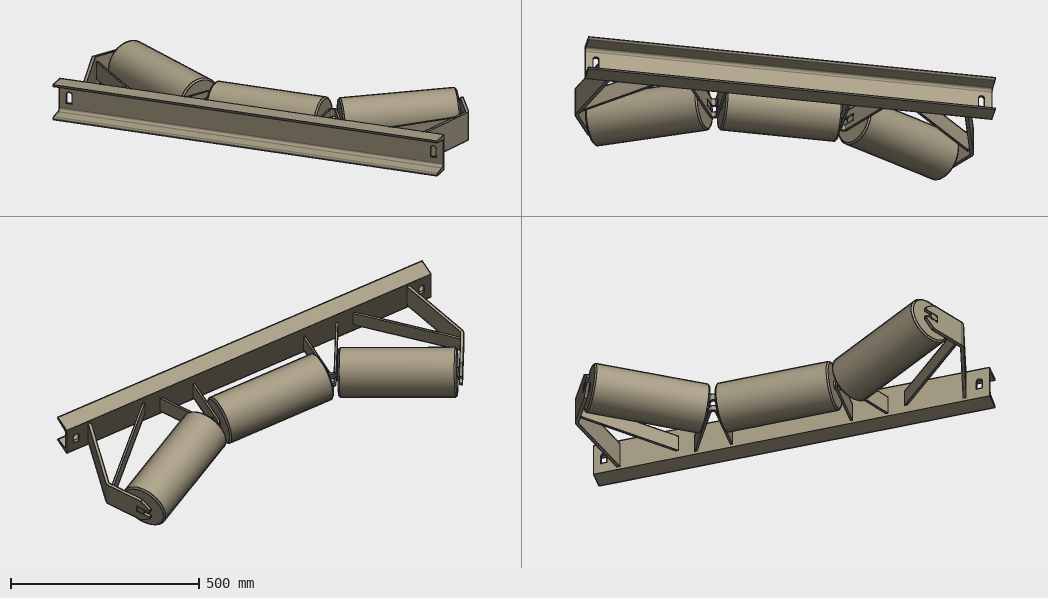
import cadquery as cq
import math


beam_length = 1100.0
beam_height = 100.0
beam_depth = 51.0
web_thickness = 7.0
flange_root = 11.0
flange_tip = 7.0
root_radius = 9.0
tip_radius = 4.0
mount_slot_width = 16.0
mount_slot_height = 33.0
mount_slot_inset = 29.0

roller_diameter = 133.0
roller_length = 315.0
rim_chamfer = 4.0
end_gap = 7.0
shaft_radius = 12.0
tang_width = 18.0
tang_lead = 2.0
centre_roller_y = 120.0
roller_z = -14.0
side_rise = 13.0
trough_angle = 30.0
side_inner_x = -201.0
side_inner_y = 130.0

shaft_slot_width = 20.0
outer_height = 80.0
outer_thickness = 8.2
outer_lean = 15.0
outer_bend_y = 202.0
outer_bend_radius = 16.0
outer_tip_reach = 29.0
tip_cut_along = 28.0
tip_cut_across = 22.0
inner_height = 56.0
inner_thickness = 5.0
arch_radius = 12.0

strut_thickness = 5.0
strut_height = 50.0
strut_foot_x = -318.0
strut_angle = 45.0

cos_trough = math.cos(math.radians(trough_angle))
sin_trough = math.sin(math.radians(trough_angle))
side_run = math.sqrt(roller_length**2 - side_rise**2)
tilt_slope = side_rise / side_run
outer_near = side_run + end_gap
outer_far = outer_near + outer_thickness
inner_near = -end_gap
inner_far = inner_near - inner_thickness
outer_slot_z = roller_z + tilt_slope * (outer_near + outer_thickness / 2)
upright_near_x = -roller_length / 2 - end_gap
upright_far_x = upright_near_x - inner_thickness


def leg_point(along, up):
    """Plan point at a distance along the left roller axis and up a leg square to it."""
    return (
        side_inner_x - along * cos_trough + up * sin_trough,
        side_inner_y + along * sin_trough + up * cos_trough,
    )


def leg_point_at_y(along, y):
    return leg_point(along, (y - leg_point(along, 0)[1]) / cos_trough)


def leg_point_at_x(along, x):
    return leg_point(along, (x - leg_point(along, 0)[0]) / sin_trough)


def plate(points, height, z=0.0):
    """Plan outline extruded to a height centred on z."""
    outline = cq.Workplane("XY").workplane(offset=z - height / 2).polyline(points).close()
    return outline.extrude(height)


def round_bend(strip, outside, inside, outside_radius, thickness):
    """Round both corners of a sharp bend so that the strip keeps its thickness."""
    for corner, radius in ((outside, outside_radius), (inside, outside_radius - thickness)):
        at_corner = cq.selectors.NearestToPointSelector((*corner, 0))
        strip = strip.edges("|Z").edges(at_corner).fillet(radius)
    return strip


def make_beam():
    half_height = beam_height / 2
    half_beam = (
        cq.Workplane("YZ")
        .polyline([
            (0, 0),
            (0, half_height),
            (-beam_depth, half_height),
            (-beam_depth, half_height - flange_tip),
            (-web_thickness, half_height - flange_root),
            (-web_thickness, 0),
        ])
        .close()
        .extrude(beam_length / 2, both=True)
    )
    flange_rounds = (
        (-web_thickness, half_height - flange_root, root_radius),
        (-beam_depth, half_height - flange_tip, tip_radius),
    )
    for y, z, radius in flange_rounds:
        at_corner = cq.selectors.NearestToPointSelector((0, y, z))
        half_beam = half_beam.edges("|X").edges(at_corner).fillet(radius)
    beam = half_beam.union(half_beam.mirror("XY"))

    slot_x = beam_length / 2 - mount_slot_inset
    for x in (-slot_x, slot_x):
        beam = beam.cut(make_mount_slot(x))
    return beam


def make_mount_slot(x):
    """Cutter through the web: square at the bottom, round at the top."""
    half_width = mount_slot_width / 2
    half_height = mount_slot_height / 2
    return (
        cq.Workplane("XZ")
        .moveTo(x - half_width, -half_height)
        .lineTo(x + half_width, -half_height)
        .lineTo(x + half_width, half_height - half_width)
        .threePointArc((x, half_height), (x - half_width, half_height - half_width))
        .close()
        .extrude(web_thickness)
    )


def make_roller(start_bracket, end_bracket):
    """Roller along X from X = 0; its shaft ends are flush with the far bracket faces."""
    shell = cq.Workplane("YZ").circle(roller_diameter / 2).extrude(roller_length)
    shell = shell.faces("<X or >X").chamfer(rim_chamfer)

    round_start = tang_lead - end_gap
    round_end = roller_length + end_gap - tang_lead
    round_shaft = (
        cq.Workplane("YZ", origin=(round_start, 0, 0))
        .circle(shaft_radius)
        .extrude(round_end - round_start)
    )
    tang_start = -end_gap - start_bracket
    tang_end = roller_length + end_gap + end_bracket
    half_chord = math.sqrt(shaft_radius**2 - (tang_width / 2) ** 2)
    flatted_shaft = (
        cq.Workplane("YZ", origin=(tang_start, 0, 0))
        .moveTo(-half_chord, -tang_width / 2)
        .lineTo(half_chord, -tang_width / 2)
        .threePointArc((shaft_radius, 0), (half_chord, tang_width / 2))
        .lineTo(-half_chord, tang_width / 2)
        .threePointArc((-shaft_radius, 0), (-half_chord, -tang_width / 2))
        .close()
        .extrude(tang_end - tang_start)
    )
    return shell.union(round_shaft).union(flatted_shaft)


def make_centre_roller():
    roller = make_roller(inner_thickness, inner_thickness)
    return roller.translate((-roller_length / 2, centre_roller_y, roller_z))


def make_side_roller():
    """Left roller, with its outer end raised along Y and slightly along Z."""
    roller = make_roller(inner_thickness, outer_thickness)
    roller = roller.rotate((0, 0, 0), (0, 1, 0), -math.degrees(math.atan(tilt_slope)))
    roller = roller.rotate((0, 0, 0), (0, 0, 1), 180 - trough_angle)
    return roller.translate((side_inner_x, side_inner_y, roller_z))


def make_outer_bracket():
    """Left bracket: a leaning lower leg and an upper leg square to the roller."""
    lean = math.radians(outer_lean)
    half_turn = math.radians(trough_angle + outer_lean) / 2
    outside = leg_point_at_y(outer_far, outer_bend_y)
    inside = leg_point_at_y(
        outer_near,
        outer_bend_y + outer_thickness * math.sin(lean - half_turn) / math.cos(half_turn),
    )
    foot_x = outside[0] + outer_bend_y * math.tan(lean)
    foot_width = outer_thickness / math.cos(lean)
    bracket = plate(
        [
            (foot_x, 0),
            outside,
            leg_point(outer_far, outer_tip_reach),
            leg_point(outer_near, outer_tip_reach),
            inside,
            (foot_x + foot_width, 0),
        ],
        outer_height,
    )
    bracket = round_bend(bracket, outside, inside, outer_bend_radius, outer_thickness)

    half_height = outer_height / 2
    leg_plane = cq.Plane(
        origin=(*leg_point(outer_near, outer_tip_reach), 0),
        xDir=(sin_trough, cos_trough, 0),
        normal=(-cos_trough, sin_trough, 0),
    )
    for side in (-1, 1):
        corner = (
            cq.Workplane(leg_plane)
            .polyline([
                (0, side * half_height),
                (-tip_cut_along, side * half_height),
                (0, side * (half_height - tip_cut_across)),
            ])
            .close()
            .extrude(outer_thickness)
        )
        bracket = bracket.cut(corner)

    slot = plate(
        [
            leg_point(outer_near, -shaft_radius),
            leg_point(outer_near, outer_tip_reach),
            leg_point(outer_far, outer_tip_reach),
            leg_point(outer_far, -shaft_radius),
        ],
        shaft_slot_width,
        outer_slot_z,
    )
    return bracket.cut(slot)


def make_inner_bracket():
    """Left arched bracket: one leg square to the side roller, one upright leg."""
    outside = leg_point_at_x(inner_near, upright_near_x)
    inside = leg_point_at_x(inner_far, upright_far_x)
    bracket = plate(
        [
            leg_point_at_y(inner_near, 0),
            outside,
            (upright_near_x, 0),
            (upright_far_x, 0),
            inside,
            leg_point_at_y(inner_far, 0),
        ],
        inner_height,
        (inner_height - outer_height) / 2,
    )
    bracket = round_bend(bracket, outside, inside, arch_radius, inner_thickness)

    upright_base = centre_roller_y - shaft_radius
    slot = plate(
        [
            leg_point(inner_near, -shaft_radius),
            outside,
            (upright_near_x, upright_base),
            (upright_far_x, upright_base),
            leg_point(inner_far, -shaft_radius),
        ],
        shaft_slot_width,
        roller_z,
    )
    return bracket.cut(slot)


def make_strut():
    """Left flat strut from the beam to the upper leg of the outer bracket."""
    angle = math.radians(strut_angle)
    half_foot = strut_thickness / math.sin(angle) / 2
    leg_x, leg_y = leg_point(outer_near, 0)

    def end_on_leg(foot_x):
        run = foot_x - leg_x + leg_y * sin_trough / cos_trough
        rise = run / (1 / math.tan(angle) + sin_trough / cos_trough)
        return foot_x - rise / math.tan(angle), rise

    near_foot = strut_foot_x - half_foot
    far_foot = strut_foot_x + half_foot
    return plate(
        [(near_foot, 0), end_on_leg(near_foot), end_on_leg(far_foot), (far_foot, 0)],
        strut_height,
    )


beam = make_beam()
centre_roller = make_centre_roller()
left_bodies = [
    make_side_roller(),
    make_outer_bracket(),
    make_inner_bracket(),
    make_strut(),
]

bodies = [beam.solids().val(), centre_roller.solids().val()]
for body in left_bodies:
    bodies.append(body.solids().val())
    bodies.append(body.mirror("YZ").solids().val())
result = cq.Compound.makeCompound(bodies)